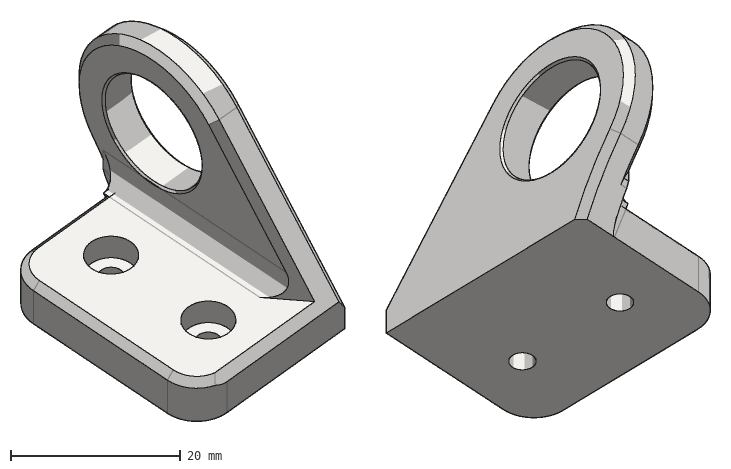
import cadquery as cq
import math

length = 39.88
depth = 25.0
height = 30.5

plate_thickness = 5.0
eye_radius = 13.0
eye_x = eye_radius
eye_z = height - eye_radius
bore_radius = 7.98
bore_chamfer = 0.28
flank_angle = math.radians(215.4)

plate_middle = plate_thickness / 2

foot_left = 7.9
foot_thickness = 6.42
corner_radius = 5.0
slope_foot_z = 5.05

margin = 0.4

edge_chamfer = 1.0
inner_fillet = 3.0
fillet_back = plate_thickness - edge_chamfer
flank_fillet_foot = 0.68

screw_x = (15.95, 31.95)
screw_y = -15.0
screw_diameter = 3.25
head_diameter = 6.5
head_depth = 3.5


def eye_point(angle):
    """Point (X, Z) on the outer circle of the eye."""
    return eye_x + eye_radius * math.cos(angle), eye_z + eye_radius * math.sin(angle)


def slope_tangent_angle():
    """Angle on the eye where the straight slope from the right end touches it."""
    dx = length - eye_x
    dz = slope_foot_z - eye_z
    return math.atan2(dz, dx) + math.acos(eye_radius / math.hypot(dx, dz))


def flank_middle(start, end):
    """Middle of the arc leaving the eye tangentially at start and passing through end."""
    chord = math.hypot(end[0] - start[0], end[1] - start[1])
    chord_angle = math.atan2(end[1] - start[1], end[0] - start[0])
    half_turn = chord_angle - (flank_angle + math.pi / 2)
    sagitta = chord / 2 * math.tan(half_turn / 2)
    return (
        (start[0] + end[0]) / 2 + sagitta * math.sin(chord_angle),
        (start[1] + end[1]) / 2 - sagitta * math.cos(chord_angle),
    )


def plate_blank(thickness):
    """Outline of the plate, extruded forward from the back face."""
    slope_angle = slope_tangent_angle()
    flank_start = eye_point(flank_angle)
    flank_end = (foot_left, 0)
    return (
        cq.Workplane("XZ")
        .moveTo(*flank_end)
        .lineTo(length, 0)
        .lineTo(length, slope_foot_z)
        .lineTo(*eye_point(slope_angle))
        .threePointArc(eye_point((slope_angle + flank_angle) / 2), flank_start)
        .threePointArc(flank_middle(flank_start, flank_end), flank_end)
        .close()
        .extrude(thickness)
    )


def make_plate():
    plate = plate_blank(plate_thickness)
    rim = cq.selectors.BoxSelector(
        (-margin, -depth, margin), (length - margin, margin, height + margin)
    )
    return plate.faces("<Y or >Y").edges(rim).chamfer(edge_chamfer)


def make_foot():
    foot = (
        cq.Workplane("XY")
        .box(length - foot_left, depth - plate_middle, foot_thickness, centered=False)
        .translate((foot_left, -depth, 0))
        .edges("|Z and <Y")
        .fillet(corner_radius)
    )
    foot = foot.faces(">Z").edges("not >Y").chamfer(edge_chamfer)
    top = eye_point(slope_tangent_angle())
    under_slope = (
        cq.Workplane("XZ")
        .polyline([(0, 0), (length, 0), (length, slope_foot_z), top, (0, top[1])])
        .close()
        .extrude(depth)
    )
    return foot.intersect(under_slope)


def fillet_profile(plane, corner, size, direction):
    """Concave fillet against the plate: corner is where its right angle touches the plate face.

    The profile is drawn with local y along Y and beds into the plate.
    """
    middle = size * (1 - math.sqrt(0.5))
    front = -plate_thickness
    return (
        plane.moveTo(corner, front - size)
        .threePointArc(
            (corner + direction * middle, front - middle),
            (corner + direction * size, front),
        )
        .lineTo(corner + direction * size, -fillet_back)
        .lineTo(corner, -fillet_back)
        .close()
    )


def behind_slope_chamfer():
    """Space bounded by the slope's front chamfer, extended forward past the plate."""
    angle = slope_tangent_angle()
    frame = cq.Plane(
        (length, 0, slope_foot_z),
        xDir=(math.cos(angle), 0, math.sin(angle)),
        normal=(-math.sin(angle), 0, math.cos(angle)),
    )
    chamfer_start = edge_chamfer - plate_thickness
    return (
        cq.Workplane(frame)
        .lineTo(0, chamfer_start)
        .lineTo(-depth, chamfer_start - depth)
        .lineTo(-length, chamfer_start - depth)
        .lineTo(-length, 0)
        .close()
        .extrude(length, both=True)
    )


def make_foot_fillet():
    """Fillet above the foot, rounded off in plan where it runs past the foot's left side."""
    side_plane = cq.Workplane(cq.Plane((0, 0, 0), xDir=(0, 0, 1), normal=(-1, 0, 0)))
    strip = fillet_profile(side_plane, foot_thickness, inner_fillet, 1).extrude(-length)
    plan = fillet_profile(cq.Workplane("XY"), foot_left, inner_fillet, -1).extrude(height)
    over_foot = cq.Workplane("XY").box(length, depth, height, centered=False)
    plan = plan.union(over_foot.translate((foot_left, -depth, 0)))
    return strip.intersect(plan).intersect(behind_slope_chamfer())


def make_flank_fillet():
    """Fillet between the plate and the foot's left side, shrinking towards the underside."""
    lower = fillet_profile(cq.Workplane("XY"), foot_left, flank_fillet_foot, -1)
    upper = cq.Workplane("XY").workplane(offset=foot_thickness)
    lower_wire = lower.val()
    upper_wire = fillet_profile(upper, foot_left, inner_fillet, -1).val()
    return cq.Workplane(cq.Solid.makeLoft([lower_wire, upper_wire], True))


def make_bore():
    bore = cq.Workplane("XZ").center(eye_x, eye_z).circle(bore_radius).extrude(plate_thickness)
    mouth = (
        cq.Workplane("XZ", origin=(0, -plate_thickness, 0))
        .center(eye_x, eye_z)
        .circle(bore_radius + bore_chamfer)
        .workplane(offset=-bore_chamfer)
        .circle(bore_radius)
        .loft()
    )
    return bore.union(mouth).union(mouth.mirror("XZ", (0, -plate_middle, 0)))


fillets = make_foot_fillet().union(make_flank_fillet()).intersect(plate_blank(depth))
body = make_plate().union(make_foot()).union(fillets).cut(make_bore())

result = (
    body.copyWorkplane(cq.Workplane("XY", origin=(0, 0, foot_thickness)))
    .pushPoints([(x, screw_y) for x in screw_x])
    .cboreHole(screw_diameter, head_diameter, head_depth)
)